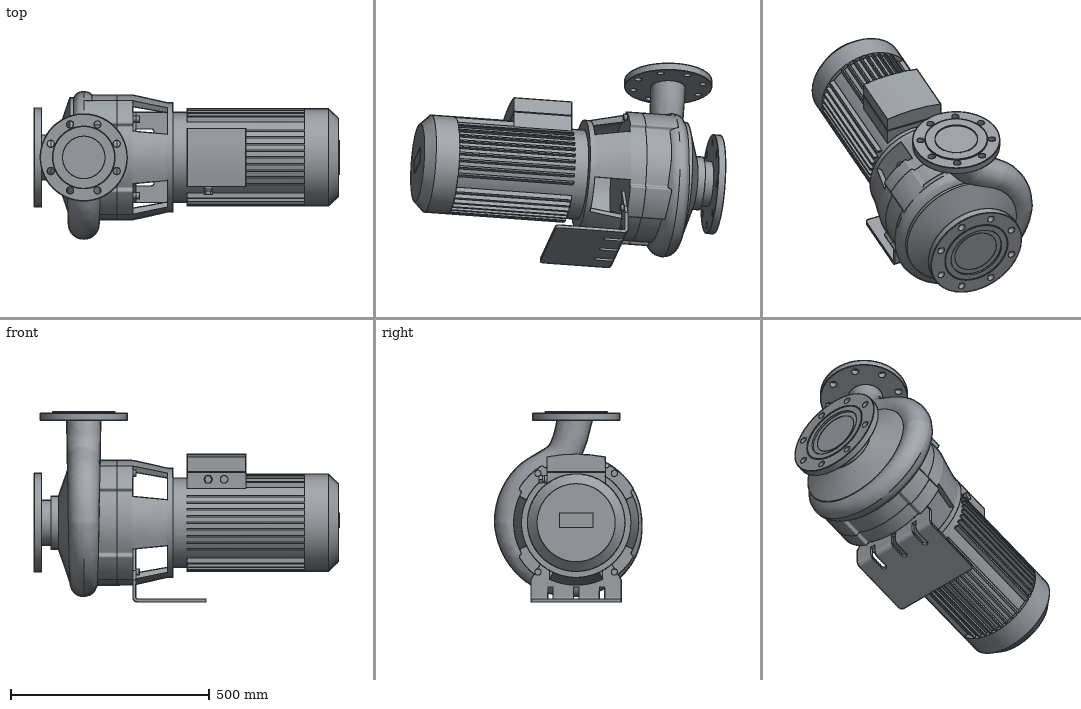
import cadquery as cq
import math


outlet_x = 125.0
casing_back_x = 208.5
lantern_seat_x = 248.6
motor_flange_x = 336.0
motor_front_x = 350.0
fin_start_x = 385.6
fan_cover_x = 682.0
fan_cover_chamfer_x = 742.0
motor_end_x = 767.5

discharge_face_z = 280.0
foot_base_z = -200.0

flange_thickness = 19.0
flange_edge_chamfer = 1.0
flange_hole_count = 8
flange_hole_dia = 18.0
suction_flange_dia = 250.0
suction_hole_circle = 210.0
suction_bore_dia = 139.7
suction_bore_depth = 5.0
suction_pipe_dia = 114.3
suction_pipe_recess = 0.5
face_groove_dia = 172.0
face_groove_width = 2.0
face_groove_depth = 1.0
discharge_flange_dia = 220.0
discharge_hole_circle = 180.0
raised_face_dia = 158.0
raised_face_height = 3.0
discharge_bore_dia = 107.1
discharge_bore_depth = 3.0

neck_end_x = 42.0
collar_dia = 134.3
collar_end_x = 61.0
rim_x = 90.0
rim_radius = 151.0
drum_radius = 157.8
volute_min_radius = 166.2
volute_max_radius = 206.4
tube_min_radius = 29.0
tube_max_radius = 39.0
tongue_rise = 10.0
tongue_angle = 105.0
section_step = 15.0
branch_wrap_radius = 155.0
branch_tilt = 14.5
branch_bend_radius = 90.0
branch_end_radius = 43.5
branch_end_y = -4.0

lug_radius = 168.0
lug_half_width = 42.0
lug_fillet = 4.8
lug_angles = (45, 135, 225, 315)

rib_half_angle = 25.0
rib_angles = (0, 90, 180, 270)
rib_inner_front_radius = 141.0
rib_inner_back_radius = 124.0
motor_flange_radius = 138.0

bolt_y = 96.5
bolt_z = 124.5
bolt_head_dia = 16.0
bolt_head_height = 8.5
bolt_shank_dia = 9.0
bolt_depth = 30.0

foot_thickness = 8.0
foot_half_width = 114.0
foot_end_x = 433.5
foot_shoulder_z = -144.0
foot_arm_top_z = -66.0
foot_bend_radius = 4.0
foot_corner_radius = 10.0
foot_slot_width = 13.0
foot_slot_pitch = 65.0
foot_slot_end_x = 302.0
foot_slot_top_z = -162.0

motor_core_radius = 113.0
fin_tip_radius = 123.0
fin_pitch = 16.8
fin_thickness = 3.8
fins_each_side = 4
fan_cover_end_radius = 98.5
plate_width = 85.0
plate_height = 37.0
plate_z = 6.0
plate_thickness = 2.0

box_length = 148.2
box_half_width = 73.5
box_shoulder_z = 166.0
box_crown_z = 173.0
lid_seam_z = 127.0
lid_seam_height = 2.0
lid_seam_depth = 1.0
entry_z = 109.5
gland_x = 438.8
gland_base_dia = 20.0
gland_base_length = 6.5
gland_neck_dia = 16.0
gland_neck_length = 5.0
gland_nut_flats = 19.0
gland_nut_length = 8.5
blank_entry_x = 479.0
blank_entry_dia = 19.0
blank_entry_depth = 2.0


def disc(radius, x_start, x_end):
    """Cylinder about the shaft axis."""
    return cq.Workplane("YZ", origin=(x_start, 0, 0)).circle(radius).extrude(x_end - x_start)


def turned(points, angle=360.0):
    """Solid turned about the shaft axis from (x, radius) points."""
    return cq.Workplane("XY").polyline(points).close().revolve(angle, (0, 0, 0), (1, 0, 0))


def lugged_drum(x_start, x_end):
    """Drum with four rounded bolt lugs on its diagonals."""
    length = x_end - x_start
    lug_bar = cq.Workplane("XY").box(length, 2 * lug_radius, 2 * lug_half_width)
    lug_bar = lug_bar.translate((x_start + length / 2, 0, 0))
    lugs = lug_bar.rotate((0, 0, 0), (1, 0, 0), 45)
    lugs = lugs.union(lug_bar.rotate((0, 0, 0), (1, 0, 0), 135))
    lugs = lugs.intersect(disc(lug_radius, x_start, x_end))
    drum = disc(drum_radius, x_start, x_end).union(lugs)
    tip_reach = math.sqrt(lug_radius**2 - lug_half_width**2)
    root_reach = math.sqrt(drum_radius**2 - lug_half_width**2)
    mid_x = (x_start + x_end) / 2
    corners = cq.Workplane("XY")
    for angle in lug_angles:
        c = math.cos(math.radians(angle))
        s = math.sin(math.radians(angle))
        for reach in (root_reach, tip_reach):
            for side in (-lug_half_width, lug_half_width):
                point = (mid_x, reach * c - side * s, reach * s + side * c)
                corners = corners.add(drum.edges(cq.selectors.NearestToPointSelector(point)))
    return cq.Workplane(drum.val().fillet(lug_fillet, corners.vals()))


def tube_section(y, z, direction_y, direction_z, radius):
    """Circular wire centred on the volute's plane, square to the flow direction."""
    outward = (0, -direction_z, direction_y)
    plane = cq.Plane((outlet_x, y, z), xDir=outward, normal=(0, direction_y, direction_z))
    return cq.Workplane(plane).circle(radius).wire().val()


def volute():
    """Spiral tube growing from the tongue, under the casing, to the -Y side."""
    sections = []
    for i in range(round((tongue_angle + 180) / section_step) + 1):
        turn = i * section_step - tongue_angle
        if turn < 0:
            growth = 0.0
            reach = volute_min_radius + tongue_rise * (turn / tongue_angle)**2
        else:
            growth = turn / 180
            reach = volute_min_radius + (volute_max_radius - volute_min_radius) * growth
        tube = tube_min_radius + (tube_max_radius - tube_min_radius) * growth
        c = math.cos(math.radians(turn))
        s = math.sin(math.radians(turn))
        spine = reach - tube
        sections.append(tube_section(spine * c, -spine * s, -s, -c, tube))
    return cq.Workplane(cq.Solid.makeLoft(sections))


def discharge_branch():
    """S-bent tube from the -Y side of the volute up to the discharge flange."""
    end_z = discharge_face_z - raised_face_height - flange_thickness
    tilt = math.radians(branch_tilt)
    wrap_y = branch_wrap_radius - (volute_max_radius - tube_max_radius)
    reach = (wrap_y - branch_end_y) * math.cos(tilt) + end_z * math.sin(tilt)
    centre_distance = branch_wrap_radius + branch_bend_radius
    wrap = tilt + math.acos((reach + branch_bend_radius) / centre_distance)
    bend_y = wrap_y - centre_distance * math.cos(wrap)
    bend_z = centre_distance * math.sin(wrap)

    def on_wrap(angle):
        return (
            wrap_y - branch_wrap_radius * math.cos(angle),
            branch_wrap_radius * math.sin(angle),
        )

    def on_bend(angle):
        return (
            bend_y + branch_bend_radius * math.cos(angle),
            bend_z - branch_bend_radius * math.sin(angle),
        )

    overrun = branch_end_radius * math.tan(tilt)
    end = (branch_end_y + overrun * math.sin(tilt), end_z + overrun * math.cos(tilt))
    spine_points = [on_wrap(wrap * i / 3) for i in range(4)]
    spine_points += [on_bend((wrap + tilt) / 2), on_bend(tilt), end]
    spine = cq.Workplane("YZ", origin=(outlet_x, 0, 0)).spline(
        spine_points, tangents=[(0, 1), (math.sin(tilt), math.cos(tilt))])
    first = tube_section(*on_wrap(0), 0, 1, tube_max_radius)
    last = tube_section(*end, math.sin(tilt), math.cos(tilt), branch_end_radius)
    tube = cq.Workplane(cq.Solid.sweep_multi([first, last], spine.wire().val()))
    above_flange_middle = (
        cq.Workplane("XY", origin=(outlet_x, 0, end_z + flange_thickness / 2))
        .rect(discharge_flange_dia, discharge_flange_dia)
        .extrude(discharge_flange_dia)
    )
    return tube.cut(above_flange_middle)


def drilled_flange(plane, diameter, hole_circle):
    """Pipe flange with chamfered rims and a ring of bolt holes, starting on the plane."""
    flange = cq.Workplane(plane).circle(diameter / 2).extrude(flange_thickness)
    flange = flange.edges().chamfer(flange_edge_chamfer)
    half_pitch = 180 / flange_hole_count
    holes = (
        cq.Workplane(plane)
        .polarArray(hole_circle / 2, half_pitch, 360, flange_hole_count)
        .circle(flange_hole_dia / 2)
        .extrude(flange_thickness)
    )
    return flange.cut(holes)


def make_casing():
    body = turned([
        (0, 0),
        (0, suction_pipe_dia / 2),
        (neck_end_x, suction_pipe_dia / 2),
        (neck_end_x, collar_dia / 2),
        (collar_end_x, collar_dia / 2),
        (rim_x, rim_radius),
        (outlet_x, rim_radius),
        (outlet_x, 0),
    ])
    body = body.union(lugged_drum(outlet_x, casing_back_x))
    body = body.union(volute())
    body = body.union(discharge_branch())

    suction_plane = cq.Plane((0, 0, 0), xDir=(0, 1, 0), normal=(1, 0, 0))
    body = body.union(drilled_flange(suction_plane, suction_flange_dia, suction_hole_circle))
    body = body.cut(disc(suction_bore_dia / 2, 0, suction_bore_depth))
    body = body.cut(disc(suction_pipe_dia / 2, 0, suction_bore_depth + suction_pipe_recess))
    groove = disc((face_groove_dia + face_groove_width) / 2, 0, face_groove_depth)
    groove = groove.cut(disc((face_groove_dia - face_groove_width) / 2, 0, face_groove_depth))
    body = body.cut(groove)

    raised_z = discharge_face_z - raised_face_height
    discharge_plane = cq.Plane((outlet_x, 0, raised_z - flange_thickness))
    body = body.union(drilled_flange(discharge_plane, discharge_flange_dia, discharge_hole_circle))
    raised_face = (
        cq.Workplane("XY", origin=(outlet_x, 0, raised_z))
        .circle(raised_face_dia / 2)
        .extrude(raised_face_height)
        .faces(">Z").edges().chamfer(flange_edge_chamfer)
    )
    body = body.union(raised_face)
    bore = (
        cq.Workplane("XY", origin=(outlet_x, 0, discharge_face_z - discharge_bore_depth))
        .circle(discharge_bore_dia / 2)
        .extrude(discharge_bore_depth)
    )
    return body.cut(bore)


def bolt_places():
    return [(y, z) for y in (-bolt_y, bolt_y) for z in (-bolt_z, bolt_z)]


def bolt_hole(y, z, x_start, x_end):
    return disc(bolt_shank_dia / 2, x_start, x_end).translate((0, y, z))


def make_lantern():
    body = lugged_drum(casing_back_x, lantern_seat_x)
    body = body.union(disc(motor_flange_radius, motor_flange_x, motor_front_x))
    rib = turned([
        (lantern_seat_x, rib_inner_front_radius),
        (lantern_seat_x, drum_radius),
        (motor_flange_x, motor_flange_radius),
        (motor_flange_x, rib_inner_back_radius),
    ], 2 * rib_half_angle)
    for angle in rib_angles:
        body = body.union(rib.rotate((0, 0, 0), (1, 0, 0), angle - rib_half_angle))
    for y, z in bolt_places():
        body = body.cut(bolt_hole(y, z, lantern_seat_x - bolt_depth, lantern_seat_x))
    return body


def make_bolt(y, z, seat_x):
    """Headed bolt whose head rests on the seat."""
    shank = disc(bolt_shank_dia / 2, lantern_seat_x - bolt_depth, seat_x)
    head = disc(bolt_head_dia / 2, seat_x, seat_x + bolt_head_height)
    return shank.union(head).translate((0, y, z))


def make_foot():
    arch_half_width = drum_radius * math.sin(math.radians(rib_half_angle))
    arch_side_z = -drum_radius * math.cos(math.radians(rib_half_angle))
    back_x = lantern_seat_x + foot_thickness
    upright = (
        cq.Workplane("YZ", origin=(lantern_seat_x, 0, 0))
        .moveTo(-foot_half_width, foot_base_z)
        .lineTo(foot_half_width, foot_base_z)
        .lineTo(foot_half_width, foot_shoulder_z)
        .lineTo(arch_half_width, foot_arm_top_z)
        .lineTo(arch_half_width, arch_side_z)
        .threePointArc((0, -drum_radius), (-arch_half_width, arch_side_z))
        .lineTo(-arch_half_width, foot_arm_top_z)
        .lineTo(-foot_half_width, foot_shoulder_z)
        .close()
        .extrude(foot_thickness)
    )
    base = (
        cq.Workplane("XY", origin=(0, 0, foot_base_z))
        .moveTo(lantern_seat_x, -foot_half_width)
        .rect(foot_end_x - lantern_seat_x, 2 * foot_half_width, centered=False)
        .extrude(foot_thickness)
        .edges("|Z and >X").fillet(foot_corner_radius)
    )
    foot = upright.union(base)
    inner_bend = (back_x, 0, foot_base_z + foot_thickness)
    outer_bend = (lantern_seat_x, 0, foot_base_z)
    foot = foot.edges(cq.selectors.NearestToPointSelector(inner_bend)).fillet(foot_bend_radius)
    foot = foot.edges(cq.selectors.NearestToPointSelector(outer_bend)).fillet(
        foot_bend_radius + foot_thickness)
    for y in (-foot_slot_pitch, 0, foot_slot_pitch):
        straight_end_x = foot_slot_end_x - foot_slot_width / 2
        slot = (
            cq.Workplane("XY", origin=(0, y, foot_base_z))
            .moveTo(lantern_seat_x, -foot_slot_width / 2)
            .lineTo(straight_end_x, -foot_slot_width / 2)
            .threePointArc((foot_slot_end_x, 0), (straight_end_x, foot_slot_width / 2))
            .lineTo(lantern_seat_x, foot_slot_width / 2)
            .close()
            .extrude(foot_slot_top_z - foot_base_z)
        )
        foot = foot.cut(slot)
    for y in (-bolt_y, bolt_y):
        foot = foot.cut(bolt_hole(y, -bolt_z, lantern_seat_x, back_x))
    return foot


def box_outline(bottom_z):
    """Terminal box with a crowned lid, from the given height up."""
    return (
        cq.Workplane("YZ", origin=(fin_start_x, 0, 0))
        .moveTo(-box_half_width, bottom_z)
        .lineTo(box_half_width, bottom_z)
        .lineTo(box_half_width, box_shoulder_z)
        .threePointArc((0, box_crown_z), (-box_half_width, box_shoulder_z))
        .close()
        .extrude(box_length)
    )


def make_motor():
    body = disc(motor_core_radius, motor_front_x, fan_cover_x)
    fin_length = fan_cover_x - fin_start_x
    fins = cq.Workplane("XY")
    for i in range(-fins_each_side, fins_each_side + 1):
        fin = cq.Workplane("XY").box(fin_length, 2 * fin_tip_radius, fin_thickness)
        fin = fin.translate((fin_start_x + fin_length / 2, 0, i * fin_pitch))
        fins = fins.union(fin)
        fins = fins.union(fin.rotate((0, 0, 0), (1, 0, 0), 90))
    fins = fins.intersect(disc(fin_tip_radius, fin_start_x, fan_cover_x))
    body = body.union(fins)
    body = body.cut(box_outline(0).cut(disc(motor_core_radius, fin_start_x, fan_cover_x)))
    body = body.union(turned([
        (fan_cover_x, 0),
        (fan_cover_x, fin_tip_radius),
        (fan_cover_chamfer_x, fin_tip_radius),
        (motor_end_x, fan_cover_end_radius),
        (motor_end_x, 0),
    ]))
    plate = cq.Workplane("XY").box(plate_thickness, plate_width, plate_height)
    return body.union(plate.translate((motor_end_x + plate_thickness / 2, 0, plate_z)))


def make_terminal_box():
    body = box_outline(0).cut(disc(motor_core_radius, fin_start_x, fan_cover_x))
    seam = (
        cq.Workplane("XY", origin=(fin_start_x + box_length / 2, 0, lid_seam_z))
        .rect(box_length, 2 * box_half_width)
        .rect(box_length - 2 * lid_seam_depth, 2 * (box_half_width - lid_seam_depth))
        .extrude(lid_seam_height)
    )
    body = body.cut(seam)
    gland = cq.Workplane("XZ", origin=(gland_x, -box_half_width, entry_z))
    gland = gland.circle(gland_base_dia / 2).extrude(gland_base_length)
    gland = gland.faces("<Y").workplane().circle(gland_neck_dia / 2).extrude(gland_neck_length)
    nut_corners = gland_nut_flats / math.cos(math.radians(30))
    gland = gland.faces("<Y").workplane().polygon(6, nut_corners).extrude(gland_nut_length)
    body = body.union(gland)
    blank_entry = (
        cq.Workplane("XZ", origin=(blank_entry_x, -box_half_width, entry_z))
        .circle(blank_entry_dia / 2)
        .extrude(-blank_entry_depth)
    )
    return body.cut(blank_entry)


casing = make_casing()
lantern = make_lantern()
foot = make_foot()
motor = make_motor()
terminal_box = make_terminal_box()

bolts = []
for y, z in bolt_places():
    seat_x = lantern_seat_x + foot_thickness if z < 0 else lantern_seat_x
    bolts.append(make_bolt(y, z, seat_x))

result = cq.Compound.makeCompound([
    casing.val(),
    lantern.val(),
    foot.val(),
    motor.val(),
    terminal_box.val(),
    *[bolt.val() for bolt in bolts],
])